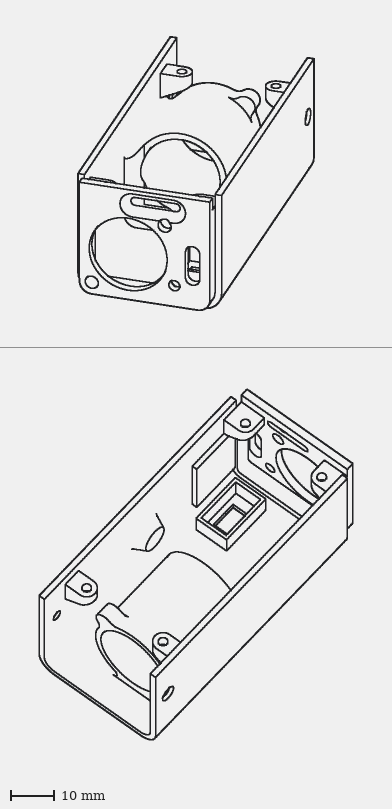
import cadquery as cq
import math

length = 74.0
width = 35.0
height = 30.5
wall = 1.59
floor = 1.5
inner_radius = 3.0
outer_radius = inner_radius + floor
half_inner = width / 2 - wall
wall_front = 3.9

plate_thickness = 2.1
frame_back = 5.9
frame_width = 2.0
lid_seat = 27.45

bore_x = -4.0
bore_z = 13.5
bore_diameter = 19.0
window_x = 2.0
window_z = 26.5
window_length = 12.0
window_height = 2.1
window_bevel = 2.0
slot_x = 11.7
slot_z = 12.95
slot_length = 10.15
slot_width = 3.5
screw_offset = 8.9
screw_diameter = 3.2
pin_hole_x = 7.25
pin_hole_z = 7.0
pin_hole_diameter = 2.7

tube_radius = 11.1
tube_front = 40.1
tube_back = 66.0
ramp_front = 33.9
ramp_rise = 2.95
wall_blend = 1.0
floor_blend = 1.2

lug_offset = 8.4
lug_radius = 2.5
lug_blend = 2.4
lug_front = 62.1

post_x = 11.5
post_radius = 2.45
post_tip_thickness = 3.0
post_root_thickness = 6.45
post_hole_diameter = 2.2
post_hole_depth = post_tip_thickness
front_post_y = 6.0
back_post_y = 63.9

box_x = 7.5
box_y = 16.1
box_width = 9.2
box_length = 14.35
box_wall = 0.9
box_top = 6.45
box_opening_width = 4.6
box_opening_length = 7.1

side_hole_y = 69.4
side_hole_z = 17.5
side_hole_diameter = 2.5
side_sink_diameter = 4.0
cone_y = 38.9
cone_tip_x = 11.55
cone_tip_radius = 3.3
cone_base_x = 14.7
cone_base_radius = 4.8
rib_thickness = 1.3
rib_back = 20.0
rib_bottom = floor + inner_radius
rib_top = 21.45


def section(y):
    """XZ sketch plane at the given Y."""
    return cq.Workplane("XZ", origin=(0, y, 0))


def extrude_back(sketch, depth, taper=0.0):
    """Extrude an XZ sketch toward +Y."""
    return sketch.extrude(-depth, taper=taper)


def block(x0, x1, y0, y1, z0, z1):
    """Box between opposite corners."""
    return cq.Workplane("XY", origin=(x0, y0, z0)).box(x1 - x0, y1 - y0, z1 - z0, centered=False)


def trough(half_width, bottom, radius, y0, y1, taper=0.0):
    """Solid up to the top of the housing, with rounded lower edges, optionally narrowing toward +Y."""
    profile = (
        section(y0)
        .moveTo(-half_width, height)
        .lineTo(-half_width, bottom + radius)
        .radiusArc((-half_width + radius, bottom), -radius)
        .lineTo(half_width - radius, bottom)
        .radiusArc((half_width, bottom + radius), -radius)
        .lineTo(half_width, height)
        .close()
    )
    return extrude_back(profile, y1 - y0, taper)


def polar(center, radius, angle):
    """Point on a circle in the XZ plane, at an angle in degrees from +X."""
    a = math.radians(angle)
    return (center[0] + radius * math.cos(a), center[1] + radius * math.sin(a))


def direction(start, end):
    """Angle in degrees from one point to another."""
    return math.degrees(math.atan2(end[1] - start[1], end[0] - start[0]))


def make_shell():
    """Channel, faceplate and the frame between them."""
    channel = trough(width / 2, 0, outer_radius, wall_front, length)
    channel = channel.cut(trough(half_inner, floor, inner_radius, wall_front, length))
    front = trough(half_inner, floor, inner_radius, 0, frame_back)
    frame_opening = trough(
        half_inner - frame_width,
        floor + frame_width,
        inner_radius - frame_width,
        plate_thickness,
        frame_back,
    )
    lid_gap = block(-half_inner, half_inner, plate_thickness, frame_back, lid_seat, height)
    return channel.union(front.cut(frame_opening).cut(lid_gap))


def make_tube_block():
    """Tube with a 45 degree web to the left wall and a blend to the floor on the right.

    Its front ramps down to the floor and to the left wall.
    """
    center = (bore_x, bore_z)
    web_top = polar(center, tube_radius, 135)
    web_foot_z = web_top[1] - (web_top[0] + half_inner)
    web_blend_center = (-half_inner + wall_blend, web_foot_z + wall_blend * (1 + math.sqrt(2)))
    floor_blend_z = floor + floor_blend
    floor_blend_x = bore_x + math.sqrt((tube_radius + floor_blend) ** 2 - (bore_z - floor_blend_z) ** 2)
    floor_blend_angle = direction(center, (floor_blend_x, floor_blend_z))
    outline = (
        section(ramp_front)
        .moveTo(-half_inner, floor)
        .lineTo(-half_inner, web_blend_center[1])
        .radiusArc(polar(web_blend_center, wall_blend, 315), -wall_blend)
        .lineTo(*web_top)
        .threePointArc(polar(center, tube_radius, 45), polar(center, tube_radius, floor_blend_angle))
        .radiusArc((floor_blend_x, floor), -floor_blend)
        .close()
    )
    solid = extrude_back(outline, tube_back - ramp_front)
    ramp_angle = math.degrees(math.atan2(ramp_rise, tube_front - ramp_front))
    return solid.cut(trough(half_inner, floor, inner_radius, ramp_front, tube_front, ramp_angle))


def make_lug():
    """Round lug 45 degrees up the right of the tube, blended into it on both sides."""
    center = (bore_x, bore_z)
    lug = (bore_x + lug_offset, bore_z + lug_offset)
    spacing = math.hypot(lug_offset, lug_offset)
    reach = tube_radius + lug_blend
    cosine = (reach**2 + spacing**2 - (lug_radius + lug_blend) ** 2) / (2 * reach * spacing)
    spread = math.degrees(math.acos(cosine))
    low_angle = direction(lug, polar(center, reach, 45 - spread))
    high_angle = direction(lug, polar(center, reach, 45 + spread))
    outline = (
        section(lug_front)
        .moveTo(*center)
        .lineTo(*polar(center, tube_radius, 45 - spread))
        .radiusArc(polar(lug, lug_radius, low_angle), lug_blend)
        .threePointArc(polar(lug, lug_radius, 45), polar(lug, lug_radius, high_angle))
        .radiusArc(polar(center, tube_radius, 45 + spread), lug_blend)
        .close()
    )
    return extrude_back(outline, tube_back - lug_front)


def make_post(side, y, square_front):
    """Lid screw post on one side wall, with an underside that slopes down to the wall.

    A square front runs the post forward to the faceplate.
    """
    tip_x = post_x - post_radius
    front = plate_thickness if square_front else y - post_radius
    plan = block(post_x, half_inner, front, y + post_radius, 0, height)
    plan = plan.union(cq.Workplane("XY", origin=(post_x, y, 0)).circle(post_radius).extrude(height))
    if square_front:
        plan = plan.union(block(tip_x, post_x, front, y, 0, height))
    profile = (
        section(front)
        .moveTo(tip_x, lid_seat)
        .lineTo(tip_x, lid_seat - post_tip_thickness)
        .lineTo(half_inner, lid_seat - post_root_thickness)
        .lineTo(half_inner, lid_seat)
        .close()
    )
    post = extrude_back(profile, y + post_radius - front).intersect(plan)
    return post if side > 0 else post.mirror("YZ")


def make_switch_box():
    """Rectangular wall around the floor opening."""
    return (
        cq.Workplane("XY", origin=(box_x, box_y, floor))
        .rect(box_width, box_length)
        .rect(box_width - 2 * box_wall, box_length - 2 * box_wall)
        .extrude(box_top - floor)
    )


def make_cone():
    """Cone on the right wall, with a concave foot tangent to cone and wall."""
    slope = (cone_base_radius - cone_tip_radius) / (cone_base_x - cone_tip_x)
    foot_run = half_inner - cone_base_x
    foot_radius = cone_base_radius + foot_run * (slope + math.hypot(1, slope))
    return (
        cq.Workplane("XY")
        .moveTo(cone_tip_x, 0)
        .lineTo(cone_tip_x, cone_tip_radius)
        .lineTo(cone_base_x, cone_base_radius)
        .tangentArcPoint((half_inner, foot_radius), relative=False)
        .lineTo(half_inner, 0)
        .close()
        .revolve(360, (0, 0, 0), (1, 0, 0))
        .translate((0, cone_y, side_hole_z))
    )


def round_hole(x, z, diameter, depth):
    """Cutter for a round hole running back from the front face."""
    return extrude_back(section(0).center(x, z).circle(diameter / 2), depth)


def window_cutter():
    """Slot through the faceplate, flared toward the front."""
    mouth = section(0).center(window_x, window_z)
    mouth = mouth.slot2D(window_length + 2 * window_bevel, window_height + 2 * window_bevel)
    return extrude_back(mouth, plate_thickness, math.degrees(math.atan2(window_bevel, plate_thickness)))


def side_hole_cutter():
    """Hole across both side walls, countersunk at 45 degrees from the outside."""
    start = cq.Workplane("YZ", origin=(-width / 2, side_hole_y, side_hole_z))
    hole = start.circle(side_hole_diameter / 2).extrude(width)
    sink_depth = (side_sink_diameter - side_hole_diameter) / 2
    sink = start.circle(side_sink_diameter / 2).extrude(sink_depth, taper=45)
    return hole.union(sink).union(sink.mirror("YZ"))


body = make_shell()
body = body.union(make_tube_block())
body = body.union(make_lug())
body = body.union(make_switch_box())
body = body.union(make_cone())
body = body.union(block(half_inner - rib_thickness, half_inner, frame_back, rib_back, rib_bottom, rib_top))
for side in (-1, 1):
    body = body.union(make_post(side, front_post_y, True))
    body = body.union(make_post(side, back_post_y, False))

body = body.cut(round_hole(bore_x, bore_z, bore_diameter, tube_back))

slot_sketch = section(0).center(slot_x, slot_z).slot2D(slot_length, slot_width, 90)
body = body.cut(window_cutter())
body = body.cut(extrude_back(slot_sketch, plate_thickness))
body = body.cut(round_hole(pin_hole_x, pin_hole_z, pin_hole_diameter, plate_thickness))
for offset in (-screw_offset, screw_offset):
    body = body.cut(round_hole(bore_x + offset, bore_z + offset, screw_diameter, frame_back))

for side in (-1, 1):
    for post_y in (front_post_y, back_post_y):
        seat = cq.Workplane("XY", origin=(side * post_x, post_y, lid_seat))
        body = body.cut(seat.circle(post_hole_diameter / 2).extrude(-post_hole_depth))
floor_opening = cq.Workplane("XY", origin=(box_x, box_y, 0)).rect(box_opening_width, box_opening_length)
body = body.cut(floor_opening.extrude(floor))
body = body.cut(side_hole_cutter())

result = body